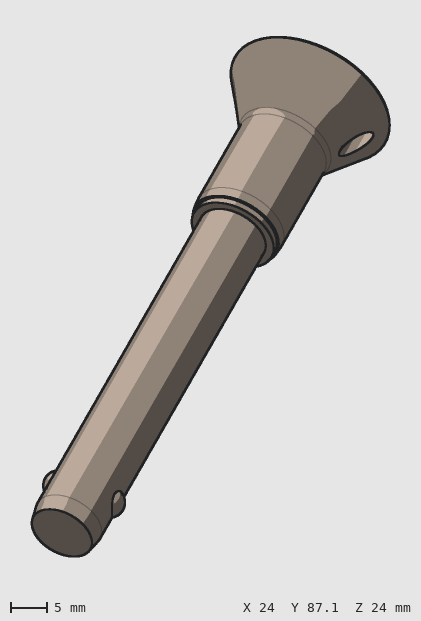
import cadquery as cq
import math


shaft_radius = 5.0
shaft_length = 59.75
tip_radius = 4.55
tip_length = 2.4

ball_radius = 2.15
ball_span = 12.0
ball_from_tip = 7.8

handle_length = 27.35
head_radius = 12.0
rim_radius = 0.3
sleeve_radius = 6.65
flare_end = 9.5
flare_blend_radius = 2.0
sleeve_round_start = 24.8
sleeve_end = 26.3
sleeve_end_radius = 6.5
collar_radius = 6.2

hole_diameter = 3.0
hole_offset = 9.1

head_top = handle_length
tip_face = -shaft_length


def below_head(depth):
    """Y position at a given depth below the head's top face."""
    return head_top - depth


def make_body():
    """Revolve the half profile of handle and shaft about the Y axis."""
    flare_slope = (head_radius - sleeve_radius) / (flare_end - rim_radius)
    flare_angle = math.atan(flare_slope)
    blend_reach = flare_blend_radius * math.tan(flare_angle / 2)
    blend_start = (
        sleeve_radius + blend_reach * math.sin(flare_angle),
        below_head(flare_end) + blend_reach * math.cos(flare_angle),
    )
    blend_end = (sleeve_radius, below_head(flare_end) - blend_reach)

    profile = (
        cq.Workplane("XY")
        .moveTo(0, head_top)
        .lineTo(head_radius - rim_radius, head_top)
        .tangentArcPoint((head_radius, below_head(rim_radius)), relative=False)
        .lineTo(*blend_start)
        .tangentArcPoint(blend_end, relative=False)
        .lineTo(sleeve_radius, below_head(sleeve_round_start))
        .tangentArcPoint((sleeve_end_radius, below_head(sleeve_end)), relative=False)
        .lineTo(collar_radius, below_head(sleeve_end))
        .lineTo(collar_radius, 0)
        .lineTo(shaft_radius, 0)
        .lineTo(shaft_radius, tip_face + tip_length)
        .lineTo(tip_radius, tip_face)
        .lineTo(0, tip_face)
        .close()
    )
    return profile.revolve(360, (0, 0, 0), (0, 1, 0))


def add_balls(body):
    """Add the two locking balls that bulge from opposite sides of the shaft."""
    ball_offset = ball_span / 2 - ball_radius
    for side in (-1, 1):
        center = (side * ball_offset, tip_face + ball_from_tip, 0)
        body = body.union(cq.Workplane("XY").sphere(ball_radius).translate(center))
    return body


def cut_lanyard_hole(body):
    """Drill the lanyard hole through the flared head, parallel to the axis."""
    hole = (
        cq.Workplane("XZ", origin=(hole_offset, head_top, 0))
        .circle(hole_diameter / 2)
        .extrude(handle_length)
    )
    return body.cut(hole)


result = cut_lanyard_hole(add_balls(make_body()))